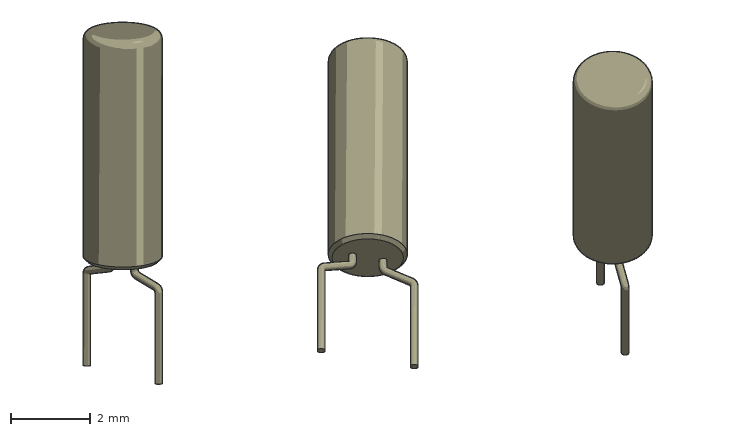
import cadquery as cq
import math

TOTAL_HEIGHT = 9.0
HOUSING_DIAMETER = 2.0
HOUSING_HEIGHT = 6.0
TOP_FILLET = 0.2
BOTTOM_CHAMFER = 0.1

LEAD_DIAMETER = 0.2
LEAD_SPAN = 2.66
INNER_LEAD_PITCH = 0.81
UPPER_LEG_LENGTH = 0.2
BEND_ZONE_HEIGHT = 0.6
BEND_RADIUS = 0.12

HOUSING_BOTTOM = TOTAL_HEIGHT - HOUSING_HEIGHT
INNER_X = INNER_LEAD_PITCH / 2
OUTER_X = (LEAD_SPAN - LEAD_DIAMETER) / 2
UPPER_BEND_Z = HOUSING_BOTTOM - UPPER_LEG_LENGTH
LOWER_BEND_Z = HOUSING_BOTTOM - BEND_ZONE_HEIGHT


def make_housing():
    """Upright cylinder with a rounded top and a small chamfer at the bottom."""
    return (
        cq.Workplane("XY", origin=(0, 0, HOUSING_BOTTOM))
        .circle(HOUSING_DIAMETER / 2)
        .extrude(HOUSING_HEIGHT)
        .faces(">Z").edges().fillet(TOP_FILLET)
        .faces("<Z").edges().chamfer(BOTTOM_CHAMFER)
    )


def bend_point(center, angle):
    """Point on the lead axis at the given angle around a bend center."""
    return (
        center[0] + BEND_RADIUS * math.cos(angle),
        center[1] + BEND_RADIUS * math.sin(angle),
    )


def make_lead():
    """Round wire running down, outward along a slope tangent to both bends, and down again."""
    upper_center = (INNER_X + BEND_RADIUS, UPPER_BEND_Z)
    lower_center = (OUTER_X - BEND_RADIUS, LOWER_BEND_Z)
    run = lower_center[0] - upper_center[0]
    drop = upper_center[1] - lower_center[1]

    center_line_angle = math.atan2(drop, run)
    slope = center_line_angle - math.asin(2 * BEND_RADIUS / math.hypot(run, drop))
    upper_end_angle = 1.5 * math.pi - slope
    lower_start_angle = 0.5 * math.pi - slope

    path = (
        cq.Workplane("XZ")
        .moveTo(INNER_X, HOUSING_BOTTOM)
        .lineTo(INNER_X, UPPER_BEND_Z)
        .threePointArc(
            bend_point(upper_center, (math.pi + upper_end_angle) / 2),
            bend_point(upper_center, upper_end_angle),
        )
        .lineTo(*bend_point(lower_center, lower_start_angle))
        .threePointArc(
            bend_point(lower_center, lower_start_angle / 2),
            (OUTER_X, LOWER_BEND_Z),
        )
        .lineTo(OUTER_X, 0)
    )
    return (
        cq.Workplane("XY", origin=(INNER_X, 0, HOUSING_BOTTOM))
        .circle(LEAD_DIAMETER / 2)
        .sweep(path)
    )


housing = make_housing()

leads = []
for turn in (0, 180):
    leads.append(make_lead().rotate((0, 0, 0), (0, 0, 1), turn).val())

result = cq.Compound.makeCompound([housing.val(), *leads])